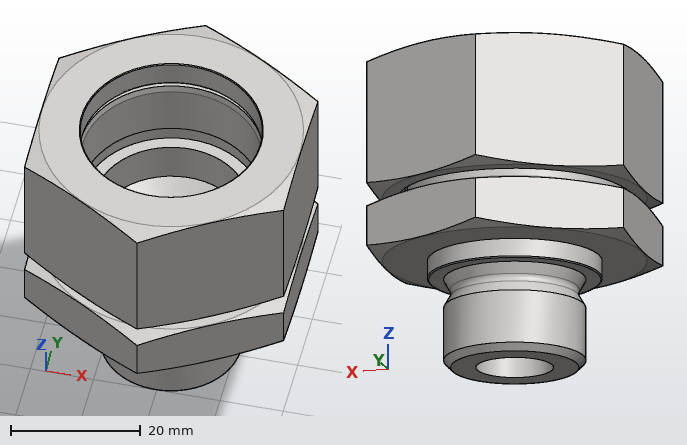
import cadquery as cq
import math


across_flats = 41.0
across_corners = across_flats / math.cos(math.radians(30))
crown_dia = 40.8
crown_angle = 15
crown_clearance = 0.5

groove_bottom = 9.45
flange_bottom = 14.0
hex_bottom = 17.0
hex_top = 25.0
nut_bottom = 27.0
tube_stop = 31.5
nut_top = 48.0

stud_dia = 22.0
stud_chamfer = 1.1
flange_dia = 27.0
flange_chamfer = 0.2
groove_angle = 30
groove_radius = 1.2
collar_dia = 33.0
collar_fillet = 1.2
thread_dia = 36.0
thread_bottom = 30.0

bore_dia = 12.0
counterbore_dia = 24.0
counterbore_bottom = hex_top
floor_angle = 60
tube_dia = 28.0
seat_dia = 30.3
seat_bottom = 33.65
seat_angle = 12
body_top = seat_bottom + (seat_dia - tube_dia) / 2 / math.tan(math.radians(seat_angle))

ring_dia = 33.85
ring_top = 42.9
ring_mouth_dia = 28.45
ring_mouth_depth = 1.05

nut_hole_dia = 28.1
nut_hole_chamfer = 0.15
nut_lip_bottom = 43.8


def revolved(profile):
    """Turn a closed (radius, height) profile about the Z axis."""
    return profile.close().revolve(360, (0, 0, 0), (0, 1, 0))


def chamfered_hex(bottom, top):
    """Hexagonal prism with corners on Y and conical chamfers at both ends."""
    prism = (
        cq.Workplane("XY")
        .workplane(offset=bottom)
        .polygon(6, across_corners)
        .extrude(top - bottom)
        .rotate((0, 0, 0), (0, 0, 1), 30)
    )
    crown_radius = crown_dia / 2
    rim_radius = across_corners / 2 + crown_clearance
    drop = (rim_radius - crown_radius) * math.tan(math.radians(crown_angle))
    envelope = revolved(
        cq.Workplane("XZ").polyline(
            [
                (0, bottom),
                (crown_radius, bottom),
                (rim_radius, bottom + drop),
                (rim_radius, top - drop),
                (crown_radius, top),
                (0, top),
            ]
        )
    )
    return prism.intersect(envelope)


def make_stud():
    """Threaded stud with its V groove and the sealing flange above it."""
    radius = stud_dia / 2
    slope = math.radians(groove_angle)
    groove_middle = (groove_bottom + flange_bottom) / 2
    arc_half_height = groove_radius * math.sin(slope)
    side_height = (flange_bottom - groove_bottom) / 2 - arc_half_height
    arc_end_radius = radius - side_height * math.tan(slope)
    neck_radius = arc_end_radius - groove_radius * (1 - math.cos(slope))
    return revolved(
        cq.Workplane("XZ")
        .moveTo(0, 0)
        .lineTo(radius - stud_chamfer, 0)
        .lineTo(radius, stud_chamfer)
        .lineTo(radius, groove_bottom)
        .lineTo(arc_end_radius, groove_middle - arc_half_height)
        .threePointArc((neck_radius, groove_middle), (arc_end_radius, groove_middle + arc_half_height))
        .lineTo(radius, flange_bottom)
        .lineTo(flange_dia / 2 - flange_chamfer, flange_bottom)
        .lineTo(flange_dia / 2, flange_bottom + flange_chamfer)
        .lineTo(flange_dia / 2, hex_bottom)
        .lineTo(0, hex_bottom)
    )


def make_neck():
    """Filleted collar above the hexagon and the thread that carries the nut."""
    collar_radius = collar_dia / 2
    fillet_offset = collar_fillet * (1 - math.sqrt(0.5))
    return revolved(
        cq.Workplane("XZ")
        .moveTo(0, hex_top)
        .lineTo(collar_radius + collar_fillet, hex_top)
        .threePointArc(
            (collar_radius + fillet_offset, hex_top + fillet_offset),
            (collar_radius, hex_top + collar_fillet),
        )
        .lineTo(collar_radius, thread_bottom)
        .lineTo(thread_dia / 2, thread_bottom)
        .lineTo(thread_dia / 2, body_top)
        .lineTo(0, body_top)
    )


def make_body_bore():
    """Sealing cone, tube socket, counterbore with a conical floor, and through bore."""
    point_height = (counterbore_dia - bore_dia) / 2 / math.tan(math.radians(floor_angle))
    return revolved(
        cq.Workplane("XZ").polyline(
            [
                (0, 0),
                (bore_dia / 2, 0),
                (bore_dia / 2, counterbore_bottom - point_height),
                (counterbore_dia / 2, counterbore_bottom),
                (counterbore_dia / 2, tube_stop),
                (tube_dia / 2, tube_stop),
                (tube_dia / 2, seat_bottom),
                (seat_dia / 2, body_top),
                (0, body_top),
            ]
        )
    )


def make_body():
    hexagon = chamfered_hex(hex_bottom, hex_top)
    return hexagon.union(make_stud()).union(make_neck()).cut(make_body_bore())


def make_cutting_ring():
    """Ring that fills the sealing cone and bears on the 45 degree cone in the nut."""
    shoulder_radius = nut_hole_dia / 2 + nut_lip_bottom - ring_top
    shoulder_height = ring_dia / 2 - shoulder_radius
    return revolved(
        cq.Workplane("XZ").polyline(
            [
                (tube_dia / 2, seat_bottom),
                (seat_dia / 2, body_top),
                (ring_dia / 2, body_top),
                (ring_dia / 2, ring_top - shoulder_height),
                (shoulder_radius, ring_top),
                (ring_mouth_dia / 2, ring_top),
                (tube_dia / 2, ring_top - ring_mouth_depth),
            ]
        )
    )


def make_nut():
    """Hexagonal nut with a threaded bore, a 45 degree cone and a tube hole."""
    hole_radius = nut_hole_dia / 2
    cone_height = thread_dia / 2 - hole_radius
    bore = revolved(
        cq.Workplane("XZ").polyline(
            [
                (0, nut_bottom),
                (thread_dia / 2, nut_bottom),
                (thread_dia / 2, nut_lip_bottom - cone_height),
                (hole_radius, nut_lip_bottom),
                (hole_radius, nut_top - nut_hole_chamfer),
                (hole_radius + nut_hole_chamfer, nut_top),
                (0, nut_top),
            ]
        )
    )
    return chamfered_hex(nut_bottom, nut_top).cut(bore)


body = make_body()
cutting_ring = make_cutting_ring()
nut = make_nut()

result = cq.Compound.makeCompound([body.val(), cutting_ring.val(), nut.val()])